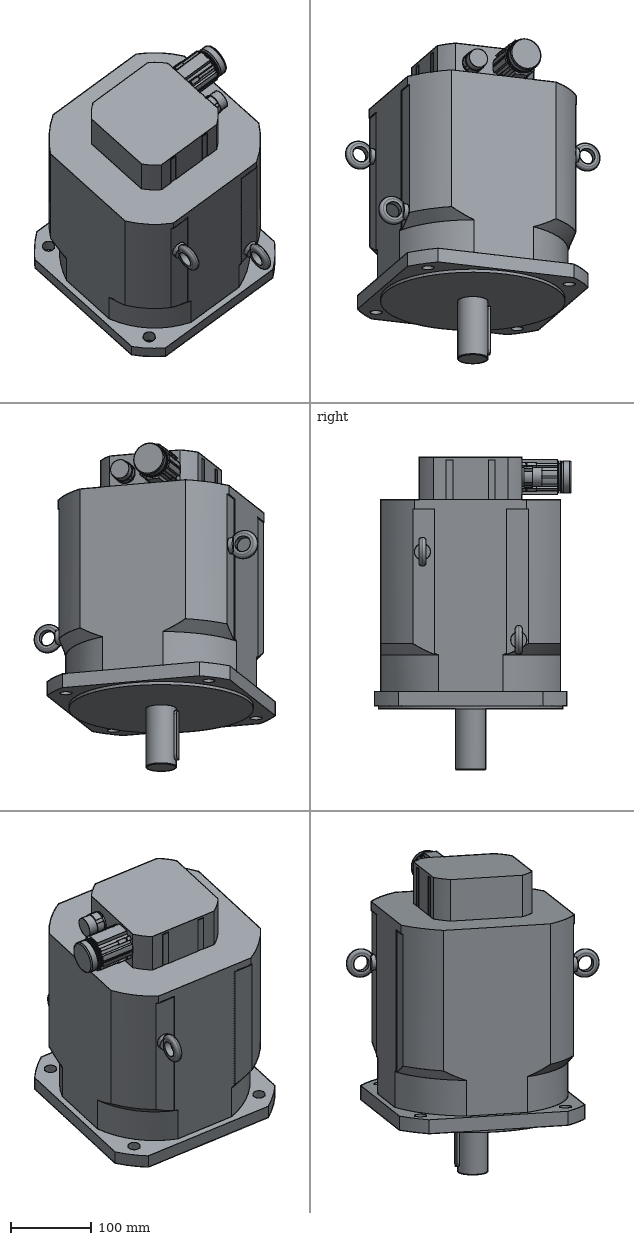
import cadquery as cq

FLANGE_WIDTH = 240.0
FLANGE_CORNER_DIAMETER = 300.0
FLANGE_THICKNESS = 18.0
SPIGOT_DIAMETER = 230.0
SPIGOT_HEIGHT = 4.0
BOLT_CIRCLE_DIAMETER = 265.0
BOLT_HOLE_DIAMETER = 15.0

BODY_WIDTH_X = 224.0
BODY_WIDTH_Y = 224.5
BODY_TOP = 257.0
BODY_RADIUS = 131.9
NECK_RADIUS = 119.0
NECK_TOP = 63.5
BODY_ROUND_BOTTOM = 77.5

SEAT_X = 110.5
SEAT_INNER_Y = 45.0
SEAT_TOP = 245.5

COVER_WIDTH = 128.0
COVER_CORNER_DIAMETER = 158.0
COVER_TOP = 310.0
COVER_GROOVE_WIDTH = 8.5
COVER_GROOVE_DEPTH = 0.5
COVER_GROOVE_Y = 26.3
COVER_GROOVE_TOP = COVER_TOP - 3.8

SHAFT_DIAMETER = 38.0
SHAFT_LENGTH = 80.0
SHAFT_CHAMFER = 1.0
KEY_WIDTH = 10.0
KEY_LENGTH = 64.0
KEY_REACH = 22.0

EYE_OUTER_DIAMETER = 36.0
EYE_INNER_DIAMETER = 20.0
EYE_THICKNESS = 9.0
EYE_ROUNDING = 4.2
EYE_HEIGHT = 36.0
EYE_COLLAR_DIAMETER = 20.0
EYE_COLLAR_HEIGHT = 6.0
EYE_PLACES = [(-1, 60.0, 181.5), (1, -60.0, 192.0), (1, 60.0, 82.0)]

CONNECTOR_FACE_Y = COVER_WIDTH / 2
CONNECTOR_SPACING = 50.0
CONNECTOR_Z = 285.0

POWER_END_Y = 125.35
POWER_WIDTH = 44.0
POWER_ARM_WIDTH = 17.0
POWER_ARM_GROOVE_WIDTH = 2.3
POWER_ARM_GROOVE_DEPTH = 0.5
POWER_CORE_DIAMETER = 38.0
POWER_BODY_END_Y = 108.5
POWER_NECK_DIAMETER = 34.0
POWER_NUT_DIAMETER = 40.3
POWER_NUT_START_Y = 113.5
POWER_NUT_CHAMFER_LENGTH = 2.0
POWER_NUT_CHAMFER_DEPTH = 1.0
POWER_RING_WIDTH = 1.3
POWER_RING_STARTS_Y = [POWER_BODY_END_Y, 111.2]
BAR_OFFSET = 14.5
BAR_SHANK_DIAGONAL = 5.4
BAR_HEAD_DIAGONAL = 7.2
BAR_HEAD_START_Y = 70.0
BAR_HEAD_END_Y = 82.0
BAR_FOOT_DIAGONAL = 7.2
BAR_FOOT_END_Y = 69.0

SIGNAL_DIAMETER = 24.0
SIGNAL_END_Y = 88.7
SIGNAL_NUT_DIAMETER = 26.0
SIGNAL_NUT_START_Y = 66.5
SIGNAL_NUT_END_Y = 77.0
SIGNAL_NOTCH_WIDTH = 4.5
SIGNAL_NOTCH_DEPTH = 1.0


def rounded_square_prism(width_x, width_y, corner_diameter, bottom, top):
    """Block whose four vertical corners are turned down to a common diameter."""
    height = top - bottom
    block = cq.Workplane("XY", origin=(0, 0, bottom)).rect(width_x, width_y).extrude(height)
    round_bar = cq.Workplane("XY", origin=(0, 0, bottom)).circle(corner_diameter / 2).extrude(height)
    return block.intersect(round_bar)


def make_flange():
    plate = rounded_square_prism(FLANGE_WIDTH, FLANGE_WIDTH, FLANGE_CORNER_DIAMETER, 0, FLANGE_THICKNESS)
    spigot = cq.Workplane("XY").circle(SPIGOT_DIAMETER / 2).extrude(-SPIGOT_HEIGHT)
    holes = (
        cq.Workplane("XY")
        .polarArray(BOLT_CIRCLE_DIAMETER / 2, 45, 360, 4)
        .circle(BOLT_HOLE_DIAMETER / 2)
        .extrude(FLANGE_THICKNESS)
    )
    return plate.cut(holes).union(spigot)


def make_body():
    turned = (
        cq.Workplane("XZ")
        .moveTo(0, FLANGE_THICKNESS)
        .lineTo(NECK_RADIUS, FLANGE_THICKNESS)
        .lineTo(NECK_RADIUS, NECK_TOP)
        .lineTo(BODY_RADIUS, BODY_ROUND_BOTTOM)
        .lineTo(BODY_RADIUS, BODY_TOP)
        .lineTo(0, BODY_TOP)
        .close()
        .revolve(360, (0, 0, 0), (0, 1, 0))
    )
    block = cq.Workplane("XY").rect(BODY_WIDTH_X, BODY_WIDTH_Y).extrude(BODY_TOP)
    body = turned.intersect(block)
    for side_x in (-1, 1):
        for side_y in (-1, 1):
            recess = (
                cq.Workplane("XY", origin=(side_x * SEAT_X, side_y * SEAT_INNER_Y, NECK_TOP))
                .rect(side_x * BODY_RADIUS, side_y * BODY_RADIUS, centered=False)
                .extrude(SEAT_TOP - NECK_TOP)
            )
            body = body.cut(recess)
    return body


def make_cover():
    cover = rounded_square_prism(COVER_WIDTH, COVER_WIDTH, COVER_CORNER_DIAMETER, BODY_TOP, COVER_TOP)
    for side_x in (-1, 1):
        grooves = (
            cq.Workplane("XY", origin=(side_x * COVER_WIDTH / 2, 0, BODY_TOP))
            .pushPoints([(0, -COVER_GROOVE_Y), (0, COVER_GROOVE_Y)])
            .rect(2 * COVER_GROOVE_DEPTH, COVER_GROOVE_WIDTH)
            .extrude(COVER_GROOVE_TOP - BODY_TOP)
        )
        cover = cover.cut(grooves)
    return cover


def make_shaft():
    """Shaft with its parallel key standing out on the -X side."""
    shaft = (
        cq.Workplane("XY")
        .circle(SHAFT_DIAMETER / 2)
        .extrude(-SHAFT_LENGTH)
        .faces("<Z")
        .chamfer(SHAFT_CHAMFER)
    )
    key = (
        cq.Workplane("YZ", origin=(-KEY_REACH, 0, -SHAFT_LENGTH / 2))
        .slot2D(KEY_LENGTH, KEY_WIDTH, 90)
        .extrude(KEY_REACH)
    )
    return shaft.union(key)


def make_motor():
    return make_flange().union(make_body()).union(make_cover()).union(make_shaft())


def make_eyebolt(side, y, z):
    """Eyebolt standing out along X from the recessed seat."""
    center_height = EYE_HEIGHT - EYE_OUTER_DIAMETER / 2
    ring = (
        cq.Workplane("XZ", origin=(center_height, 0, 0))
        .circle(EYE_OUTER_DIAMETER / 2)
        .extrude(EYE_THICKNESS / 2, both=True)
        .faces("<Y or >Y")
        .edges()
        .fillet(EYE_ROUNDING)
    )
    collar = cq.Workplane("YZ").circle(EYE_COLLAR_DIAMETER / 2).extrude(EYE_COLLAR_HEIGHT)
    opening = (
        cq.Workplane("XZ", origin=(center_height, 0, 0))
        .circle(EYE_INNER_DIAMETER / 2)
        .extrude(EYE_COLLAR_DIAMETER, both=True)
    )
    eyebolt = collar.union(ring).cut(opening)
    if side < 0:
        eyebolt = eyebolt.mirror("YZ")
    return eyebolt.translate((side * SEAT_X, y, z))


def cylinder_along_y(diameter, start_y, end_y):
    return cq.Workplane("XZ", origin=(0, start_y, 0)).circle(diameter / 2).extrude(start_y - end_y)


def edge_bar_along_y(diagonal, start_y, end_y, x, z):
    """Square bar whose corners point along X and Z."""
    return cq.Workplane("XZ", origin=(x, start_y, z)).polygon(4, diagonal).extrude(start_y - end_y)


def make_power_connector():
    body_length = POWER_BODY_END_Y - CONNECTOR_FACE_Y

    connector = cylinder_along_y(POWER_CORE_DIAMETER, CONNECTOR_FACE_Y, POWER_BODY_END_Y)
    flat_arms = (
        cq.Workplane("XZ", origin=(0, CONNECTOR_FACE_Y, 0))
        .rect(POWER_ARM_WIDTH, POWER_WIDTH)
        .extrude(-body_length)
    )
    round_arms = (
        cq.Workplane("XZ", origin=(0, CONNECTOR_FACE_Y, 0))
        .rect(POWER_WIDTH, POWER_ARM_WIDTH)
        .extrude(-body_length)
        .intersect(cylinder_along_y(POWER_WIDTH, CONNECTOR_FACE_Y, POWER_BODY_END_Y))
    )
    connector = connector.union(flat_arms).union(round_arms)

    for side in (-1, 1):
        groove = (
            cq.Workplane("XZ", origin=(side * POWER_WIDTH / 2, CONNECTOR_FACE_Y, 0))
            .rect(2 * POWER_ARM_GROOVE_DEPTH, POWER_ARM_GROOVE_WIDTH)
            .extrude(-body_length)
        )
        connector = connector.cut(groove)

    for x in (-BAR_OFFSET, BAR_OFFSET):
        for z in (-BAR_OFFSET, BAR_OFFSET):
            foot = edge_bar_along_y(BAR_FOOT_DIAGONAL, CONNECTOR_FACE_Y, BAR_FOOT_END_Y, x, z)
            head = edge_bar_along_y(BAR_HEAD_DIAGONAL, BAR_HEAD_START_Y, BAR_HEAD_END_Y, x, z)
            shank = edge_bar_along_y(BAR_SHANK_DIAGONAL, CONNECTOR_FACE_Y, POWER_BODY_END_Y, x, z)
            connector = connector.union(foot).union(head).union(shank)

    connector = connector.union(cylinder_along_y(POWER_NECK_DIAMETER, CONNECTOR_FACE_Y, POWER_END_Y))
    for ring_start in POWER_RING_STARTS_Y:
        connector = connector.union(
            cylinder_along_y(POWER_NUT_DIAMETER, ring_start, ring_start + POWER_RING_WIDTH)
        )
    nut = (
        cylinder_along_y(POWER_NUT_DIAMETER, POWER_NUT_START_Y, POWER_END_Y)
        .faces("<Y or >Y")
        .edges()
        .chamfer(POWER_NUT_CHAMFER_LENGTH, POWER_NUT_CHAMFER_DEPTH)
    )
    connector = connector.union(nut)
    return connector.translate((-CONNECTOR_SPACING / 2, 0, CONNECTOR_Z))


def make_signal_connector():
    connector = cylinder_along_y(SIGNAL_DIAMETER, CONNECTOR_FACE_Y, SIGNAL_END_Y)
    nut = cylinder_along_y(SIGNAL_NUT_DIAMETER, SIGNAL_NUT_START_Y, SIGNAL_NUT_END_Y)
    notches = (
        cq.Workplane("XZ", origin=(0, SIGNAL_NUT_START_Y, 0))
        .polarArray(SIGNAL_NUT_DIAMETER / 2, 45, 360, 4)
        .rect(2 * SIGNAL_NOTCH_DEPTH, SIGNAL_NOTCH_WIDTH)
        .extrude(SIGNAL_NUT_START_Y - SIGNAL_NUT_END_Y)
    )
    connector = connector.union(nut.cut(notches))
    return connector.translate((CONNECTOR_SPACING / 2, 0, CONNECTOR_Z))


motor = make_motor()
eyebolts = [make_eyebolt(*place) for place in EYE_PLACES]
power_connector = make_power_connector()
signal_connector = make_signal_connector()

result = cq.Compound.makeCompound(
    [
        motor.val(),
        *[eyebolt.val() for eyebolt in eyebolts],
        power_connector.val(),
        signal_connector.val(),
    ]
)